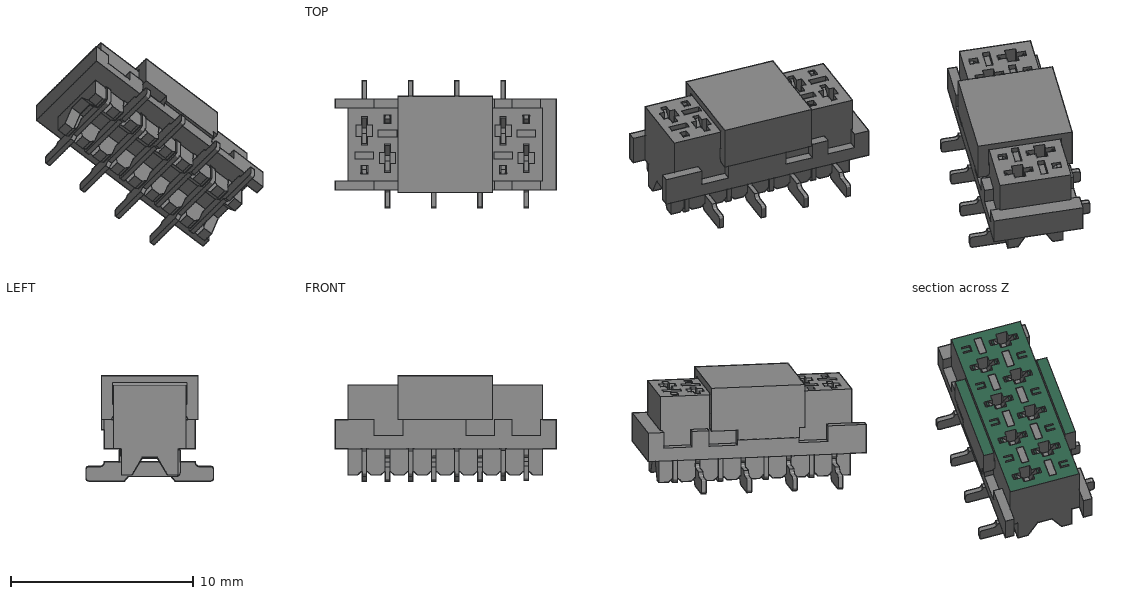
import cadquery as cq
import math

housing_length = 10.69
housing_half_width = 2.0
housing_top = 5.29
foot_half_width = 1.56
foot_bottom = 0.34
channel_mouth_half = 0.97
channel_roof_half = 0.41
channel_roof = 1.25
end_channel_roof = 1.33
end_channel_depth = 0.61

rail_left = -6.05
rail_right = 6.1
rail_half_width = 2.5
rail_bottom = 1.78
rail_top = 3.38
notch_floor = 2.5
notch_spans = [(-3.92, -2.31), (1.13, 2.71), (3.66, 5.24)]
key_bottom = 2.82

cap_length = 5.2
cap_half_width = 2.65
cap_top = 5.8
cap_inner_top = 5.4
cap_inner_half = 2.04
latch_top = 4.23
latch_bottom = 3.58
leg_tip_half = 2.1

contact_count = 8
contact_span = 8.89
pitch = contact_span / (contact_count - 1)
contact_thickness = 0.25
raised_contacts = 2
contact_raise = 0.04
tail_end = 3.5
tail_top = 0.79
tail_corner = 0.16
shoulder_end = 2.5
shoulder_top = 1.05
shoulder_fillet = 0.23
post_face = 1.6
post_inner = 1.17
web_bottom = 0.25
tail_bevel_start = 1.39
tail_bevel_end = 1.17
heel_face = 1.68
heel_radius = 0.24
heel_chamfer = 0.12
riser_inner = post_inner
riser_tip_inner = 1.39
riser_slope_bottom = 4.99
neck_radius = 0.22

tip_recess = 0.11
tip_height = housing_top - tip_recess
fork_center = 0.75
fork_half = 0.69
fork_lead_half = 0.38
fork_throat_half = 0.15
fork_lead_bottom = 4.74
fork_throat = 4.44
slot_half = 0.79
slot_width = 0.32
slot_floor = 2.43
window_length = 0.9
window_width = 0.61
riser_hole_inner = 1.14
riser_hole_outer = 1.62
riser_hole_width = 0.38
blind_pocket_length = 1.02
blind_pocket_width = 0.39
blind_pocket_center = 0.6
blind_pocket_depth = 0.3
mouth_half = 0.36
mouth_neck_half = 0.16
mouth_height = 0.2


def block(x_range, y_range, z_range):
    """Axis-aligned box given by its limits along X, Y and Z."""
    ranges = (x_range, y_range, z_range)
    sizes = [abs(end - start) for start, end in ranges]
    corner = tuple(min(limits) for limits in ranges)
    return cq.Workplane("XY").box(*sizes, centered=False).translate(corner)


def plate(points, x_center, length):
    """Polygon in the YZ plane, extruded along X about x_center."""
    outline = cq.Workplane("YZ").polyline(points).close()
    return outline.extrude(length / 2, both=True).translate((x_center, 0, 0))


def make_channel(x_center, length, roof):
    """Trapezoid channel along X under the housing, open downward."""
    points = [
        (-channel_mouth_half, foot_bottom),
        (channel_mouth_half, foot_bottom),
        (channel_roof_half, roof),
        (-channel_roof_half, roof),
    ]
    return plate(points, x_center, length)


def make_housing():
    half_length = housing_length / 2
    x_range = (-half_length, half_length)
    upper = block(x_range, (-housing_half_width, housing_half_width), (rail_bottom, housing_top))
    foot = block(x_range, (-foot_half_width, foot_half_width), (foot_bottom, rail_bottom))
    housing = upper.union(foot).cut(make_channel(0, housing_length, channel_roof))
    for side in (-1, 1):
        end_center = side * (half_length - end_channel_depth / 2)
        housing = housing.cut(make_channel(end_center, end_channel_depth, end_channel_roof))
    return housing


def make_rail():
    z_range = (rail_bottom, rail_top)
    rail = block((rail_left, rail_right), (-rail_half_width, rail_half_width), z_range)
    opening_half = housing_half_width
    rail = rail.cut(block((rail_left, housing_length / 2), (-opening_half, opening_half), z_range))
    for start, end in notch_spans:
        for side in (-1, 1):
            y_range = (side * housing_half_width, side * rail_half_width)
            rail = rail.cut(block((start, end), y_range, (notch_floor, rail_top)))
    key_span = (notch_spans[0][1], notch_spans[1][0])
    return rail.union(block(key_span, (housing_half_width, cap_half_width), (key_bottom, rail_top)))


def make_cap():
    right_half = [
        (0, cap_top),
        (cap_half_width, cap_top),
        (cap_half_width, rail_top),
        (leg_tip_half, rail_top),
        (housing_half_width, latch_bottom),
        (housing_half_width, latch_top),
        (cap_inner_half, latch_top),
        (cap_inner_half, cap_inner_top),
        (0, cap_inner_top),
    ]
    half_cap = plate(right_half, 0, cap_length)
    return half_cap.union(half_cap.mirror("XZ"))


def make_tail_and_riser():
    """Contact toward +Y: tail, post above it, web under the housing and riser on the far side."""
    points = [
        (tail_end, 0),
        (tail_end, tail_top),
        (shoulder_end, tail_top),
        (shoulder_end, shoulder_top),
        (post_face, shoulder_top),
        (post_face, rail_bottom),
        (post_inner, rail_bottom),
        (post_inner, shoulder_top),
        (-riser_inner, shoulder_top),
        (-riser_inner, riser_slope_bottom),
        (-riser_tip_inner, tip_height),
        (-riser_hole_outer, tip_height),
        (-riser_hole_outer, rail_bottom),
        (-heel_face, rail_bottom - heel_chamfer),
        (-heel_face, web_bottom),
        (tail_bevel_end, web_bottom),
        (tail_bevel_start, 0),
    ]

    def near(y, z):
        """Select the plate edge that runs along X through (y, z)."""
        margin = 0.01
        low = (-contact_thickness, y - margin, z - margin)
        high = (contact_thickness, y + margin, z + margin)
        return cq.selectors.BoxSelector(low, high)

    contact = plate(points, 0, contact_thickness)
    contact = contact.edges(near(tail_end, 0) + near(tail_end, tail_top)).fillet(tail_corner)
    contact = contact.edges(near(shoulder_end, tail_top)).fillet(shoulder_fillet)
    return contact.edges(near(-heel_face, web_bottom)).fillet(heel_radius)


def make_fork():
    """Two contact arms with lead-in slopes, standing on the floor of the fork slot."""
    points = [
        (fork_center - fork_half, slot_floor),
        (fork_center - fork_half, tip_height),
        (fork_center - fork_lead_half, fork_lead_bottom),
        (fork_center - fork_throat_half, fork_throat),
        (fork_center + fork_throat_half, fork_throat),
        (fork_center + fork_lead_half, fork_lead_bottom),
        (fork_center + fork_half, tip_height),
        (fork_center + fork_half, slot_floor),
    ]
    return plate(points, 0, contact_thickness)


def make_openings():
    """Housing openings for one contact whose tail points toward +Y."""
    half_slot = slot_width / 2
    half_window = window_length / 2
    half_hole = riser_hole_width / 2
    slot_y = (fork_center - slot_half, fork_center + slot_half)
    window_y = (fork_center - window_width / 2, fork_center + window_width / 2)
    deep = (slot_floor, housing_top)
    slot = block((-half_slot, half_slot), slot_y, deep)
    window = block((-half_window, half_window), window_y, deep)
    hole_y = (-riser_hole_outer, -riser_hole_inner)
    riser_hole = block((-half_hole, half_hole), hole_y, (rail_bottom, housing_top))
    half_pocket = blind_pocket_length / 2
    pocket_y = (-blind_pocket_center - blind_pocket_width / 2, -blind_pocket_center + blind_pocket_width / 2)
    pocket_z = (housing_top - blind_pocket_depth, housing_top)
    blind_pocket = block((-half_pocket, half_pocket), pocket_y, pocket_z)
    mouth_points = [
        (-mouth_half, foot_bottom),
        (mouth_half, foot_bottom),
        (mouth_neck_half, foot_bottom + mouth_height),
        (-mouth_neck_half, foot_bottom + mouth_height),
    ]
    mouth = cq.Workplane("XZ").polyline(mouth_points).close().extrude(foot_half_width, both=True)
    return slot.union(window).union(riser_hole).union(blind_pocket).union(mouth)


def make_neck_relief():
    """S-shaped undercut between the rounded lower end of the post and the tail shoulder."""
    neck_y = post_face - neck_radius
    neck_z = shoulder_top + neck_radius
    arc_rise = neck_radius * math.sqrt(0.5)
    post_round_top = neck_z + neck_radius
    relief = (
        cq.Workplane("YZ")
        .moveTo(post_face, post_round_top)
        .threePointArc((neck_y + arc_rise, post_round_top - arc_rise), (neck_y, neck_z))
        .threePointArc((post_face - arc_rise, neck_z - arc_rise), (post_face, shoulder_top))
        .close()
    )
    return relief.extrude(contact_thickness / 2, both=True)


housing = make_housing()
contacts = []
for index in range(contact_count):
    x = (index - (contact_count - 1) / 2) * pitch
    raise_height = contact_raise if index >= contact_count - raised_contacts else 0
    fork = make_fork()
    lift = (0, 0, raise_height)
    relief = make_neck_relief().translate(lift)
    tail = make_tail_and_riser().translate(lift).cut(relief)
    openings = make_openings().union(relief)
    if index % 2:
        openings, fork, tail = (item.mirror("XZ") for item in (openings, fork, tail))
    housing = housing.cut(openings.translate((x, 0, 0)))
    contacts.append(fork.translate((x, 0, 0)))
    contacts.append(tail.translate((x, 0, 0)))

result = housing.union(make_rail()).union(make_cap())
for contact in contacts:
    result = result.union(contact)